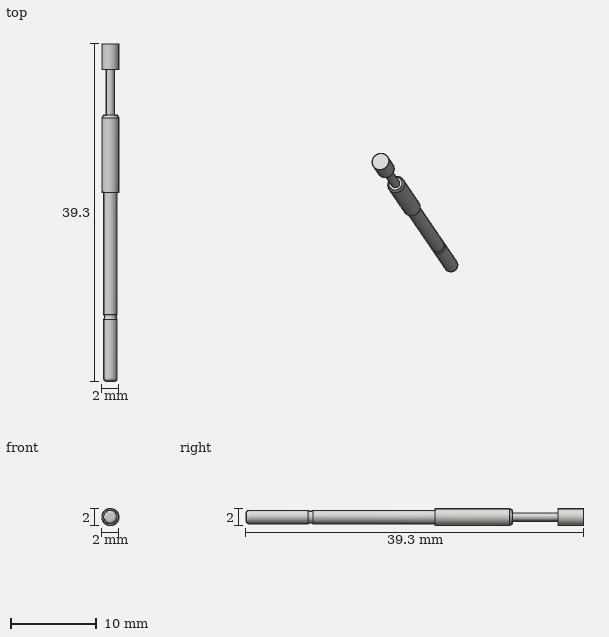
import cadquery as cq
import math


head_radius = 1.0
head_length = 3.0
rod_radius = 0.5
rod_length = 5.3

collar_radius = 1.0
collar_length = 9.0
collar_taper_length = 0.35
collar_taper_depth = 0.2
tail_radius = 0.79
tail_length = 22.0
tail_rounding = 0.36

groove_center = -14.5
groove_width = 0.6
groove_depth = 0.1

collar_front = collar_length
head_back = collar_front + rod_length
head_front = head_back + head_length
tail_end = -tail_length


def make_pin():
    """Revolve the half outline of the plunger and barrel about the Y axis."""
    rounding_inset = tail_rounding * (1 - math.sqrt(0.5))
    outline = (
        cq.Workplane("XY")
        .moveTo(0, tail_end)
        .lineTo(tail_radius - tail_rounding, tail_end)
        .threePointArc(
            (tail_radius - rounding_inset, tail_end + rounding_inset),
            (tail_radius, tail_end + tail_rounding),
        )
        .lineTo(tail_radius, 0)
        .lineTo(collar_radius, 0)
        .lineTo(collar_radius, collar_front - collar_taper_length)
        .lineTo(collar_radius - collar_taper_depth, collar_front)
        .lineTo(rod_radius, collar_front)
        .lineTo(rod_radius, head_back)
        .lineTo(head_radius, head_back)
        .lineTo(head_radius, head_front)
        .lineTo(0, head_front)
        .close()
    )
    return outline.revolve(360, (0, 0, 0), (0, 1, 0))


def make_groove_ring():
    """Ring of circular-segment section that cuts the groove into the tail."""
    section = (
        cq.Workplane("XY")
        .moveTo(tail_radius, groove_center - groove_width / 2)
        .threePointArc(
            (tail_radius - groove_depth, groove_center),
            (tail_radius, groove_center + groove_width / 2),
        )
        .close()
    )
    return section.revolve(360, (0, 0, 0), (0, 1, 0))


result = make_pin().cut(make_groove_ring())